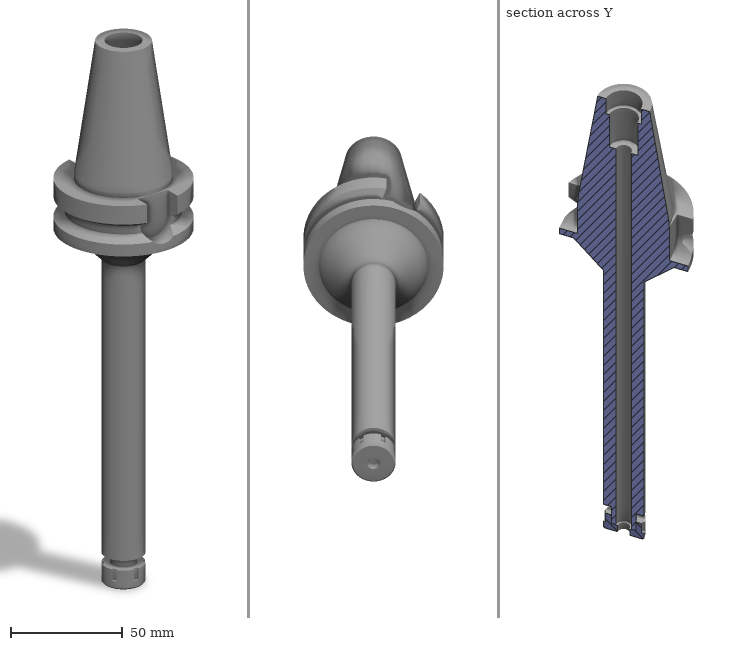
import cadquery as cq
import math

TOTAL_HEIGHT = 265.5
TAPER_LENGTH = 65.3
COLLAR_LENGTH = 2.0
UPPER_FLANGE_HEIGHT = 9.0
LOWER_FLANGE_HEIGHT = 5.8
FLANGE_BOTTOM_Z = 173.3
SHANK_BOTTOM_Z = 14.3

FLANGE_RADIUS = 31.45
GROOVE_RADIUS = 26.5
GAUGE_RADIUS = 22.3
TAPER_RATIO = 7 / 24
CONE_TOP_RADIUS = 24.5
SHANK_RADIUS = 9.95
NECK_RADIUS = 6.0
GROOVE_WALL_ANGLE = math.radians(30)

DRIVE_SLOT_WIDTH = 16.7
DRIVE_SLOT_DEPTH_Z = 21.0
DRIVE_SLOT_FLOOR_X = 22.5

ENTRY_BORE_RADIUS = 8.5
ENTRY_BORE_DEPTH = 9.3
THREAD_BORE_RADIUS = 7.0
THREAD_BORE_DEPTH = 29.2
THROUGH_BORE_RADIUS = 3.7

NUT_HEIGHT = 9.5
NUT_RADIUS = SHANK_RADIUS
NUT_FLOOR = 4.0
NUT_MOUTH_RADIUS = 3.0
NUT_CHAMFER = 0.8
WRENCH_SLOT_COUNT = 6
WRENCH_SLOT_WIDTH = 2.5
WRENCH_SLOT_DEPTH = 1.0
WRENCH_SLOT_BOTTOM_Z = 4.0

GAUGE_Z = TOTAL_HEIGHT - TAPER_LENGTH
TAPER_TOP_RADIUS = GAUGE_RADIUS - TAPER_LENGTH * TAPER_RATIO / 2
FLANGE_TOP_Z = GAUGE_Z - COLLAR_LENGTH
GROOVE_TOP_Z = FLANGE_TOP_Z - UPPER_FLANGE_HEIGHT
GROOVE_BOTTOM_Z = FLANGE_BOTTOM_Z + LOWER_FLANGE_HEIGHT
GROOVE_WALL_HEIGHT = (FLANGE_RADIUS - GROOVE_RADIUS) * math.tan(GROOVE_WALL_ANGLE)
CONE_BOTTOM_Z = FLANGE_BOTTOM_Z - (CONE_TOP_RADIUS - SHANK_RADIUS)


def vertical_cylinder(radius, bottom_z, top_z):
    """Cylinder on the Z axis between two heights."""
    return cq.Workplane("XY").workplane(offset=bottom_z).circle(radius).extrude(top_z - bottom_z)


def turned_holder():
    """Taper, grooved flange, cone, shank and neck as one turned shape."""
    profile = [
        (0, TOTAL_HEIGHT),
        (TAPER_TOP_RADIUS, TOTAL_HEIGHT),
        (GAUGE_RADIUS, GAUGE_Z),
        (GAUGE_RADIUS, FLANGE_TOP_Z),
        (FLANGE_RADIUS, FLANGE_TOP_Z),
        (FLANGE_RADIUS, GROOVE_TOP_Z),
        (GROOVE_RADIUS, GROOVE_TOP_Z - GROOVE_WALL_HEIGHT),
        (GROOVE_RADIUS, GROOVE_BOTTOM_Z + GROOVE_WALL_HEIGHT),
        (FLANGE_RADIUS, GROOVE_BOTTOM_Z),
        (FLANGE_RADIUS, FLANGE_BOTTOM_Z),
        (CONE_TOP_RADIUS, FLANGE_BOTTOM_Z),
        (SHANK_RADIUS, CONE_BOTTOM_Z),
        (SHANK_RADIUS, SHANK_BOTTOM_Z),
        (NECK_RADIUS, SHANK_BOTTOM_Z),
        (NECK_RADIUS, NUT_FLOOR),
        (0, NUT_FLOOR),
    ]
    return cq.Workplane("XZ").polyline(profile).close().revolve(360, (0, 0, 0), (0, 1, 0))


def drive_slot():
    """Cutter for the +X drive slot: open at the flange top, round at the bottom."""
    half_width = DRIVE_SLOT_WIDTH / 2
    bottom_z = FLANGE_TOP_Z - DRIVE_SLOT_DEPTH_Z
    return (
        cq.Workplane("YZ")
        .workplane(offset=DRIVE_SLOT_FLOOR_X)
        .moveTo(-half_width, FLANGE_TOP_Z)
        .lineTo(-half_width, bottom_z + half_width)
        .threePointArc((0, bottom_z), (half_width, bottom_z + half_width))
        .lineTo(half_width, FLANGE_TOP_Z)
        .close()
        .extrude(FLANGE_RADIUS - DRIVE_SLOT_FLOOR_X)
    )


def make_holder():
    """Tool holder with drive slots and a stepped axial bore."""
    body = turned_holder()
    for angle in (0, 180):
        body = body.cut(drive_slot().rotate((0, 0, 0), (0, 0, 1), angle))
    body = body.cut(vertical_cylinder(ENTRY_BORE_RADIUS, TOTAL_HEIGHT - ENTRY_BORE_DEPTH, TOTAL_HEIGHT))
    body = body.cut(vertical_cylinder(THREAD_BORE_RADIUS, TOTAL_HEIGHT - THREAD_BORE_DEPTH, TOTAL_HEIGHT))
    return body.cut(vertical_cylinder(THROUGH_BORE_RADIUS, NUT_FLOOR, TOTAL_HEIGHT))


def wrench_slot():
    """Cutter for the wrench slot on the +X side of the nut, open at the top."""
    return cq.Workplane("XY").box(
        2 * WRENCH_SLOT_DEPTH, WRENCH_SLOT_WIDTH, NUT_HEIGHT - WRENCH_SLOT_BOTTOM_Z,
        centered=(True, True, False),
    ).translate((NUT_RADIUS, 0, WRENCH_SLOT_BOTTOM_Z))


def make_nut():
    """Clamping nut around the neck, with a mouth through its floor."""
    body = vertical_cylinder(NUT_RADIUS, 0, NUT_HEIGHT).faces("<Z").chamfer(NUT_CHAMFER)
    body = body.cut(vertical_cylinder(NECK_RADIUS, NUT_FLOOR, NUT_HEIGHT))
    body = body.cut(vertical_cylinder(NUT_MOUTH_RADIUS, 0, NUT_FLOOR))
    for index in range(WRENCH_SLOT_COUNT):
        angle = index * 360 / WRENCH_SLOT_COUNT
        body = body.cut(wrench_slot().rotate((0, 0, 0), (0, 0, 1), angle))
    return body


holder = make_holder()
nut = make_nut()
result = cq.Compound.makeCompound([holder.val(), nut.val()])